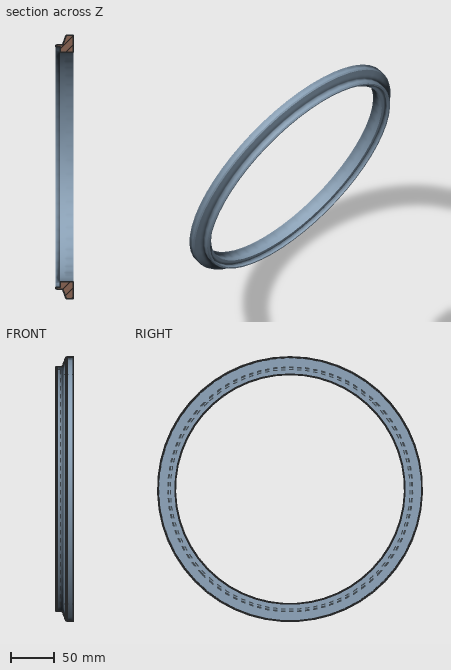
import cadquery as cq
import math

length = 20.0
bore_diameter = 261.0
socket_diameter = 273.0
socket_depth = 5.0
collar_diameter = 279.0
rim_diameter = 301.0
rim_width = 8.5
cone_angle = 20.0
bevel_length = 1.7
collar_bevel_depth = 0.9
rim_bevel_depth = 0.8
root_fillet = 1.0
rim_front_fillet = 0.5

bore_radius = bore_diameter / 2
socket_radius = socket_diameter / 2
collar_radius = collar_diameter / 2
rim_radius = rim_diameter / 2
rim_start = length - rim_width
cone_outer_radius = rim_radius - rim_bevel_depth
cone_length = (cone_outer_radius - collar_radius) * math.tan(math.radians(cone_angle))
collar_length = rim_start - cone_length


def fillet_corner(profile, corner, radius):
    """Round the profile corner at the given (axial, radial) point."""
    axial, radial = corner
    return profile.reset().vertices(cq.NearestToPointSelector((axial, radial, 0))).fillet(radius)


def ring_section():
    """Half section of the ring: X along the axis, Y the radius."""
    root = (collar_length, collar_radius)
    rim_front = (length, rim_radius)
    corners = [
        (0, socket_radius),
        (0, collar_radius - collar_bevel_depth),
        (bevel_length, collar_radius),
        root,
        (rim_start, cone_outer_radius),
        (rim_start + bevel_length, rim_radius),
        rim_front,
        (length, bore_radius),
        (socket_depth, bore_radius),
        (socket_depth, socket_radius),
    ]
    profile = cq.Sketch().polygon(corners + corners[:1])
    profile = fillet_corner(profile, root, root_fillet)
    profile = fillet_corner(profile, rim_front, rim_front_fillet)
    return profile.reset()


axis_start = (0, 0, 0)
axis_end = (1, 0, 0)
result = cq.Workplane("XZ").placeSketch(ring_section()).revolve(360, axis_start, axis_end)